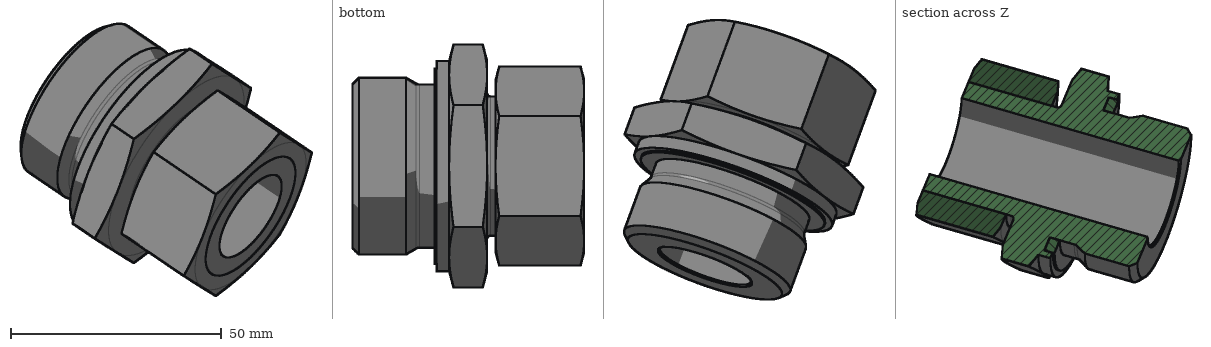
import cadquery as cq
import math


BODY_HEX_CORNERS = 57.75
NUT_HEX_FLATS = 41.0
NUT_HEX_CORNERS = NUT_HEX_FLATS / math.cos(math.radians(30))
HEX_CHAMFER_ANGLE = 15.0
BODY_HEX_FLATS = BODY_HEX_CORNERS * math.cos(math.radians(30))

UNDERCUT_CONE_START = 12.7
FLANGE_START = 20.0
BODY_HEX_START = 23.0
BODY_HEX_END = 32.0
NUT_START = 34.0
NUT_END = 55.0

STUD_RADIUS = 21.0
STUD_CHAMFER = 1.55
UNDERCUT_RADIUS = 19.4
UNDERCUT_CONE_ANGLE = 30.0
UNDERCUT_FILLET = 1.6

FLANGE_RADIUS = BODY_HEX_FLATS / 2
SEAL_RADIUS = 23.2
SEAL_THICKNESS = 2.5
SEAL_PROTRUSION = 0.45
SEAL_START = FLANGE_START - SEAL_PROTRUSION
SEAL_END = SEAL_START + SEAL_THICKNESS

NECK_RADIUS = 16.55
NECK_FILLET = 0.8

BORE_RADIUS = 11.5
BORE_CHAMFER = 0.4


def cylinder(radius, start, end):
    """Solid cylinder around the X axis between two X positions."""
    return cq.Workplane("YZ").workplane(offset=start).circle(radius).extrude(end - start)


def tube(outer_radius, inner_radius, start, end):
    """Hollow cylinder around the X axis between two X positions."""
    return cylinder(outer_radius, start, end).cut(cylinder(inner_radius, start, end))


def revolve_about_x(profile):
    """Revolve a closed XY profile, with Y as the radius, around the X axis."""
    return profile.close().revolve(360, (0, 0, 0), (1, 0, 0))


def chamfered_hexagon(corners, start, end):
    """Hexagonal prism with conical corner chamfers that just touch the flats at both ends."""
    flat_radius = corners / 2 * math.cos(math.radians(30))
    corner_radius = corners / 2
    chamfer_depth = (corner_radius - flat_radius) * math.tan(math.radians(HEX_CHAMFER_ANGLE))
    prism = cq.Workplane("YZ").workplane(offset=start).polygon(6, corners).extrude(end - start)
    turned_blank = revolve_about_x(
        cq.Workplane("XY")
        .moveTo(start, 0)
        .lineTo(start, flat_radius)
        .lineTo(start + chamfer_depth, corner_radius)
        .lineTo(end - chamfer_depth, corner_radius)
        .lineTo(end, flat_radius)
        .lineTo(end, 0)
    )
    return prism.intersect(turned_blank)


def make_stud():
    """Chamfered stud with a conical, filleted undercut next to the flange."""
    angle = math.radians(UNDERCUT_CONE_ANGLE)
    arc_rise = UNDERCUT_FILLET * (1 - math.cos(angle))
    arc_start_radius = UNDERCUT_RADIUS + arc_rise
    arc_start = UNDERCUT_CONE_START + (STUD_RADIUS - arc_start_radius) / math.tan(angle)
    arc_end = arc_start + UNDERCUT_FILLET * math.sin(angle)
    arc_middle = (
        arc_end - UNDERCUT_FILLET * math.sin(angle / 2),
        UNDERCUT_RADIUS + UNDERCUT_FILLET * (1 - math.cos(angle / 2)),
    )
    return revolve_about_x(
        cq.Workplane("XY")
        .moveTo(0, 0)
        .lineTo(0, STUD_RADIUS - STUD_CHAMFER)
        .lineTo(STUD_CHAMFER, STUD_RADIUS)
        .lineTo(UNDERCUT_CONE_START, STUD_RADIUS)
        .lineTo(arc_start, arc_start_radius)
        .threePointArc(arc_middle, (arc_end, UNDERCUT_RADIUS))
        .lineTo(BODY_HEX_START, UNDERCUT_RADIUS)
        .lineTo(BODY_HEX_START, 0)
    )


def make_neck():
    """Neck with a concave fillet against the body hexagon."""
    arc_offset = NECK_FILLET * (1 - math.sin(math.radians(45)))
    return revolve_about_x(
        cq.Workplane("XY")
        .moveTo(BODY_HEX_END, 0)
        .lineTo(BODY_HEX_END, NECK_RADIUS + NECK_FILLET)
        .threePointArc(
            (BODY_HEX_END + arc_offset, NECK_RADIUS + arc_offset),
            (BODY_HEX_END + NECK_FILLET, NECK_RADIUS),
        )
        .lineTo(NUT_END, NECK_RADIUS)
        .lineTo(NUT_END, 0)
    )


def make_bore():
    """Through bore with a chamfered mouth at the free end of the stud."""
    return revolve_about_x(
        cq.Workplane("XY")
        .moveTo(0, 0)
        .lineTo(0, BORE_RADIUS + BORE_CHAMFER)
        .lineTo(BORE_CHAMFER, BORE_RADIUS)
        .lineTo(NUT_END, BORE_RADIUS)
        .lineTo(NUT_END, 0)
    )


def make_body():
    """Stud, flange with seal recess, hexagon and neck as one bored solid."""
    flange = cylinder(FLANGE_RADIUS, FLANGE_START, BODY_HEX_START)
    seal_recess = tube(SEAL_RADIUS, UNDERCUT_RADIUS, FLANGE_START, SEAL_END)
    hexagon = chamfered_hexagon(BODY_HEX_CORNERS, BODY_HEX_START, BODY_HEX_END)
    outside = make_stud().union(flange.cut(seal_recess)).union(hexagon).union(make_neck())
    return outside.cut(make_bore())


def make_seal():
    """Flat seal ring that stands slightly proud of the flange face."""
    return tube(SEAL_RADIUS, UNDERCUT_RADIUS, SEAL_START, SEAL_END)


def make_nut():
    """Hexagonal union nut around the neck."""
    hexagon = chamfered_hexagon(NUT_HEX_CORNERS, NUT_START, NUT_END)
    return hexagon.cut(cylinder(NECK_RADIUS, NUT_START, NUT_END))


body = make_body()
seal = make_seal()
nut = make_nut()

result = cq.Compound.makeCompound([part.solids().val() for part in (body, seal, nut)])